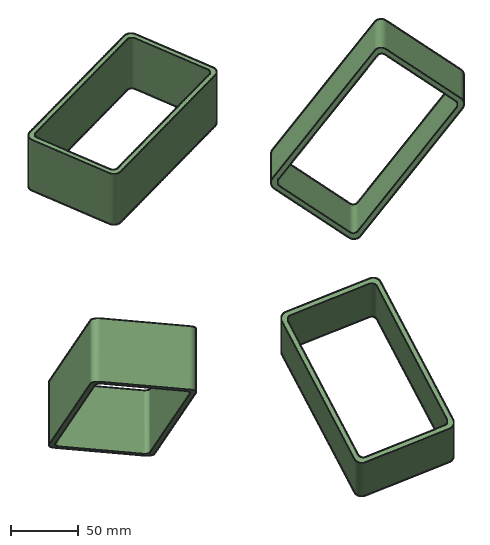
import cadquery as cq

length = 140.0
width = 80.0
height = 50.0
wall = 4.0
outer_radius = 6.0
inner_radius = 4.0


def rounded_block(size_x, size_y, corner_radius):
    """Full-height block with rounded vertical edges."""
    block = cq.Workplane("XY").rect(size_x, size_y).extrude(height)
    return block.edges("|Z").fillet(corner_radius)


outer = rounded_block(width, length, outer_radius)
opening = rounded_block(width - 2 * wall, length - 2 * wall, inner_radius)

result = outer.cut(opening)